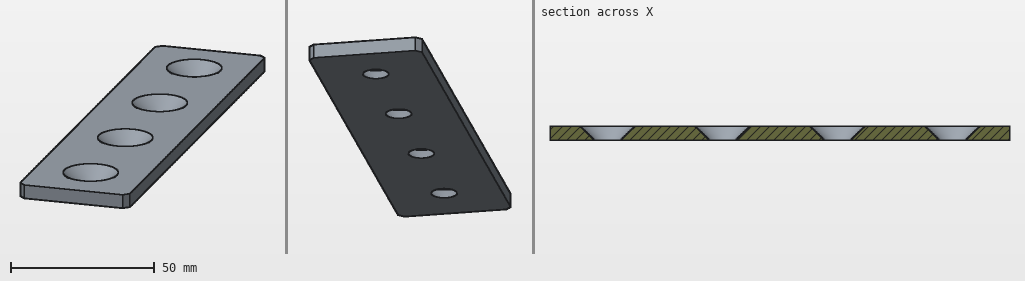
import cadquery as cq

length = 160.0
width = length / 4
thickness = 5.0
corner_chamfer = width / 20

hole_count = 4
hole_pitch = length / hole_count
hole_top_diameter = 19.2
hole_bottom_diameter = 9.0


def make_bar():
    """Bar standing on the XY plane, with its four upright corners chamfered."""
    bar = cq.Workplane("XY").box(width, length, thickness, centered=(True, True, False))
    return bar.edges("|Z").chamfer(corner_chamfer)


def make_hole_cutters():
    """Cones narrowing from the top face to the bottom face."""
    return (
        cq.Workplane("XY")
        .rarray(width, hole_pitch, 1, hole_count)
        .eachpoint(
            cq.Solid.makeCone(hole_bottom_diameter / 2, hole_top_diameter / 2, thickness)
        )
    )


result = make_bar().cut(make_hole_cutters())